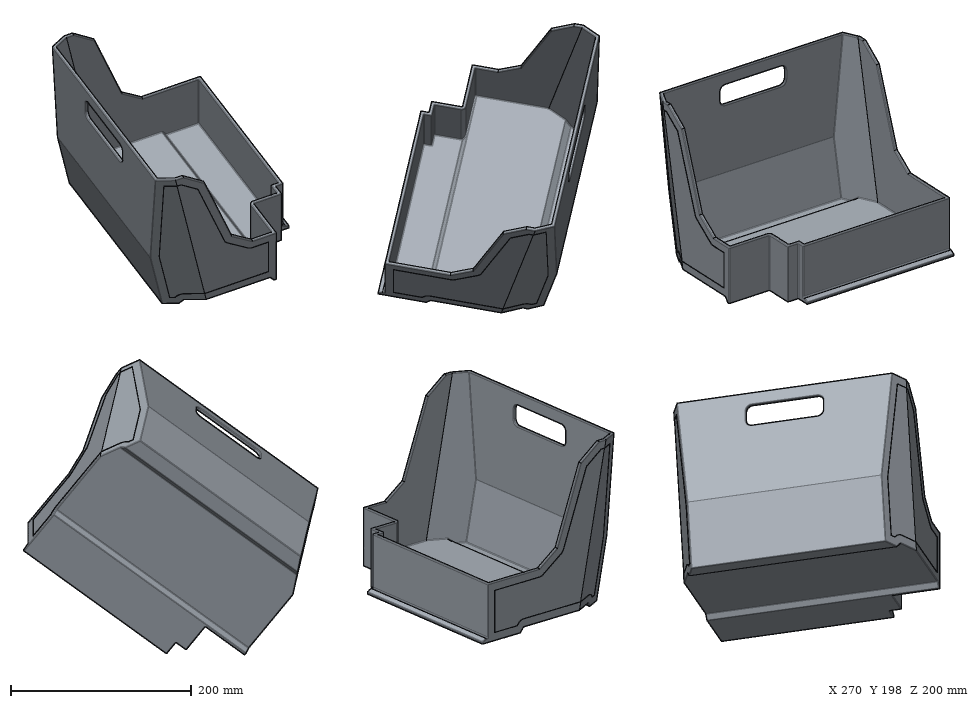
import cadquery as cq
import math

LENGTH = 270.0
HEIGHT = 200.0
BACK_WALL_Y = 190.0
WALL = 4.0
CLEARANCE = 27.0

FILLET = 0.9
SHARP_ANGLE = 38.0

BEND_Z = 75.0
LEAN_Y = 14.8
LEAN_SLOPE = LEAN_Y / BEND_Z

FLOOR_Z = 6.0
FOOT_SLOPE_Y = 4.9
CAVITY_FRONT_SLOPE_Y = 7.0
FRONT_FOOT_Y = 31.9
BACK_FOOT_Y = 143.0

LOW_RIM_Z = 70.0
RIM_STEPS = [(116.0, LOW_RIM_Z), (90.5, 88.0), (56.5, 181.0), (30.2, HEIGHT)]

CORNER_X = 10.0
CORNER_Y = 2 * CORNER_X

STEP_X = 200.5
STEP_Y = 181.0
NOTCH_X = 215.0
NOTCH_Y = 146.0

LIP_Y = 198.0
LIP_EDGE_Z = 3.0
LIP_SLOPE_Y = 192.8
LIP_Z = 6.0

HANDLE_LENGTH = 90.0
HANDLE_HEIGHT = 25.0
HANDLE_TOP_Z = 185.0
HANDLE_RADIUS = 7.0

PANEL_BORDER = 10.0
PANEL_DEPTH = 0.3


def floor_points(front, back, front_slope_y):
    """Underside of the side outline, from the front bend to the foot of the back wall."""
    return [
        (front, BEND_Z),
        (front + LEAN_Y, 0),
        (FRONT_FOOT_Y, 0),
        (FRONT_FOOT_Y + front_slope_y, FLOOR_Z),
        (BACK_FOOT_Y - FOOT_SLOPE_Y, FLOOR_Z),
        (BACK_FOOT_Y, 0),
        (back, 0),
    ]


def side_outline(front, back):
    """Closed YZ outline of a side, up to the rim."""
    points = [(front, HEIGHT)] + floor_points(front, back, FOOT_SLOPE_Y) + [(back, LOW_RIM_Z)] + RIM_STEPS
    return cq.Workplane("YZ").polyline(points).close()


def plan_outline():
    """Plan outline of the box with the stepped back corner."""
    points = [
        (0, 0),
        (LENGTH, 0),
        (LENGTH, NOTCH_Y),
        (NOTCH_X, NOTCH_Y),
        (NOTCH_X, STEP_Y),
        (STEP_X, STEP_Y),
        (STEP_X, BACK_WALL_Y),
        (0, BACK_WALL_Y),
    ]
    return cq.Workplane("XY").polyline(points).close()


def mirrored(shape):
    """Copy of a left side shape for the right side."""
    return shape.mirror("YZ", (LENGTH / 2, 0, 0))


def corner_wedge(inset):
    """Material in front of the left slanted corner face, moved inwards by inset."""
    shift = inset * math.hypot(CORNER_Y, CORNER_X, CORNER_X * LEAN_SLOPE) / CORNER_X
    reach_x = CLEARANCE
    reach_y = CLEARANCE + HEIGHT * LEAN_SLOPE
    slope = CORNER_Y / CORNER_X
    near = CORNER_Y + shift
    outline = cq.Wire.makePolygon(
        [
            cq.Vector(-reach_x, near + reach_x * slope, HEIGHT),
            cq.Vector(-reach_x, -reach_y, HEIGHT),
            cq.Vector((near + reach_y) / slope, -reach_y, HEIGHT),
        ],
        close=True,
    )
    down = cq.Vector(0, HEIGHT * LEAN_SLOPE, -HEIGHT)
    return cq.Workplane(obj=cq.Solid.extrudeLinear(outline, [], down))


def cut_corners(shape, inset):
    """Slant both front corners of a shape."""
    wedge = corner_wedge(inset)
    return shape.cut(wedge).cut(mirrored(wedge))


def fillet_upright_corner(prism, x, y, radius):
    """Round the vertical edge that stands at (x, y)."""
    middle_z = prism.val().Center().z
    return prism.edges("|Z").edges(cq.selectors.NearestToPointSelector((x, y, middle_z))).fillet(radius)


def outer_body():
    """Solid block with the outside shape of the box."""
    plan = plan_outline().extrude(HEIGHT)
    for x, y in [(STEP_X, STEP_Y), (NOTCH_X, NOTCH_Y)]:
        plan = fillet_upright_corner(plan, x, y, FILLET)
    body = side_outline(0, BACK_WALL_Y).extrude(LENGTH)
    return cut_corners(body.intersect(plan), 0)


def cavity():
    """Inside of the box, one wall thickness away from the outer faces and open at the top."""
    top = HEIGHT + CLEARANCE
    points = [(0, top)] + floor_points(0, BACK_WALL_Y, CAVITY_FRONT_SLOPE_Y) + [(BACK_WALL_Y, top)]
    section = cq.Workplane("YZ").polyline(points).close().offset2D(-WALL, "intersection").extrude(LENGTH)
    plan = plan_outline().offset2D(-WALL, "intersection").extrude(top)
    plan = fillet_upright_corner(plan, NOTCH_X - WALL, NOTCH_Y - WALL, WALL + FILLET)
    plan = fillet_upright_corner(plan, STEP_X - WALL, STEP_Y - WALL, FILLET)
    return cut_corners(section.intersect(plan), WALL)


def lip():
    """Sloped lip behind the back wall, reaching into the wall."""
    points = [
        (BACK_WALL_Y - WALL, 0),
        (LIP_Y, 0),
        (LIP_Y, LIP_EDGE_Z),
        (LIP_SLOPE_Y, LIP_Z),
        (BACK_WALL_Y - WALL, LIP_Z),
    ]
    return cq.Workplane("YZ").polyline(points).close().extrude(STEP_X)


def handle():
    """Rounded slot through the front wall."""
    slot = cq.Workplane("XY").box(HANDLE_LENGTH, 2 * CLEARANCE, HANDLE_HEIGHT).edges("|Y").fillet(HANDLE_RADIUS)
    return slot.translate((LENGTH / 2, 0, HANDLE_TOP_Z - HANDLE_HEIGHT / 2))


def panel_recess(back):
    """Thin layer of the left side, bordered by the edges of the side wall that ends at back."""
    slant = math.cos(math.atan2(CORNER_X, CORNER_Y))
    front = -PANEL_BORDER * (1 - slant)
    panel = side_outline(front, back).offset2D(-PANEL_BORDER).extrude(LENGTH / 2)
    core = cq.Workplane("XY").box(LENGTH, 2 * LIP_Y, 2 * HEIGHT, centered=(False, True, True))
    core = core.translate((PANEL_DEPTH, 0, 0)).cut(corner_wedge(PANEL_DEPTH))
    return panel.cut(core)


def sharp_edges(solid):
    """Edges whose two faces turn by more than SHARP_ANGLE; gentle bends are left out."""
    faces_at = {}
    for face in solid.Faces():
        for edge in face.Edges():
            faces_at.setdefault(edge, []).append(face)
    sharp = []
    for edge, faces in faces_at.items():
        middle = edge.positionAt(0.5)
        normals = [face.normalAt(middle) for face in faces]
        if math.degrees(normals[0].getAngle(normals[-1])) > SHARP_ANGLE:
            sharp.append(edge)
    return sharp


def rounded(shape):
    """Shape with all its sharp edges rounded."""
    return shape.newObject(sharp_edges(shape.val())).fillet(FILLET)


box = outer_body().union(lip()).cut(cavity()).cut(handle())
box = rounded(box)
box = box.cut(panel_recess(BACK_WALL_Y)).cut(mirrored(panel_recess(NOTCH_Y)))
result = box.solids()